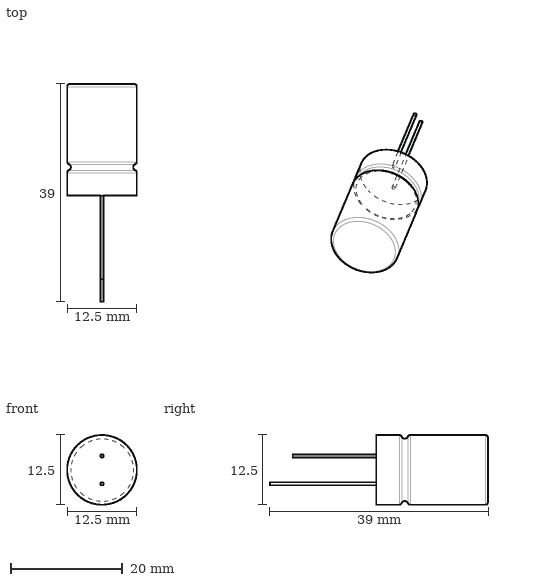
import cadquery as cq
import math

total_length = 39.0
can_length = 20.0
can_radius = 12.5 / 2
edge_radius = 0.5

groove_center = 5.1
groove_depth = 0.65
groove_radius = 0.6

lead_diameter = 0.6
lead_pitch = 5.0
long_lead_length = total_length - can_length
short_lead_length = 14.95


def point_on_arc(center, radius, degrees):
    """Point of a circle in the (radial, axial) profile plane."""
    angle = math.radians(degrees)
    return (center[0] + radius * math.cos(angle), center[1] + radius * math.sin(angle))


def make_can():
    """Revolve the half profile, with its tangent-arc groove, around Y."""
    center_distance = edge_radius + groove_radius
    radial_offset = center_distance - groove_depth
    axial_offset = math.sqrt(center_distance**2 - radial_offset**2)
    tangent_angle = math.degrees(math.atan2(axial_offset, radial_offset))

    lip_x = can_radius - edge_radius
    lower_lip = (lip_x, groove_center - axial_offset)
    upper_lip = (lip_x, groove_center + axial_offset)
    groove = (lip_x + radial_offset, groove_center)
    top_round = (lip_x, can_length - edge_radius)

    profile = (
        cq.Workplane("XY")
        .lineTo(can_radius, 0)
        .lineTo(can_radius, lower_lip[1])
        .threePointArc(
            point_on_arc(lower_lip, edge_radius, tangent_angle / 2),
            point_on_arc(lower_lip, edge_radius, tangent_angle),
        )
        .threePointArc(
            (can_radius - groove_depth, groove_center),
            point_on_arc(groove, groove_radius, 180 - tangent_angle),
        )
        .threePointArc(
            point_on_arc(upper_lip, edge_radius, -tangent_angle / 2),
            (can_radius, upper_lip[1]),
        )
        .lineTo(can_radius, top_round[1])
        .threePointArc(
            point_on_arc(top_round, edge_radius, 45),
            (lip_x, can_length),
        )
        .lineTo(0, can_length)
        .close()
    )
    return profile.revolve(360, (0, 0), (0, 1))


def make_lead(z, length):
    """Straight round wire from the base toward -Y."""
    return cq.Workplane("XZ").center(0, z).circle(lead_diameter / 2).extrude(length)


result = (
    make_can()
    .union(make_lead(lead_pitch / 2, short_lead_length))
    .union(make_lead(-lead_pitch / 2, long_lead_length))
)